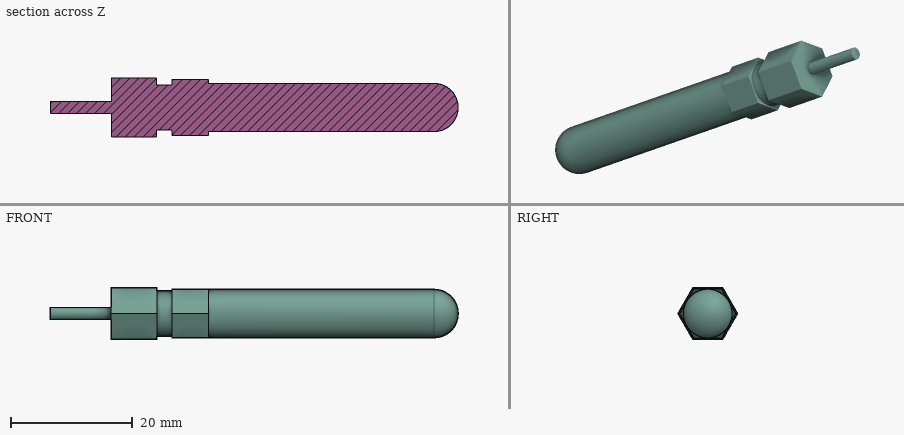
import cadquery as cq
import math

cable_length = 10.0
nut_length = 7.5
neck_length = 2.5
collar_length = 6.0
body_length = 37.0

cable_diameter = 2.0
nut_across_flats = 8.5
neck_diameter = 7.5
body_diameter = 8.0
collar_across_flats = body_diameter
body_radius = body_diameter / 2

nut_start = cable_length
neck_start = nut_start + nut_length
collar_start = neck_start + neck_length
body_start = collar_start + collar_length
dome_start = body_start + body_length


def cylinder(start, length, diameter):
    """Round section along X."""
    return cq.Workplane("YZ", origin=(start, 0, 0)).circle(diameter / 2).extrude(length)


def hexagon(start, length, across_flats):
    """Hexagonal section along X, with corners on the Y axis and flats facing +Z and -Z."""
    across_corners = across_flats / math.cos(math.pi / 6)
    return cq.Workplane("YZ", origin=(start, 0, 0)).polygon(6, across_corners).extrude(length)


def domed_body():
    """Cylindrical body closed by a hemisphere, revolved about X."""
    arc_offset = body_radius * math.sqrt(0.5)
    return (
        cq.Workplane("XY")
        .moveTo(body_start, 0)
        .lineTo(body_start, body_radius)
        .lineTo(dome_start, body_radius)
        .threePointArc((dome_start + arc_offset, arc_offset), (dome_start + body_radius, 0))
        .close()
        .revolve(360, (0, 0, 0), (1, 0, 0))
    )


cable = cylinder(0, cable_length, cable_diameter)
nut = hexagon(nut_start, nut_length, nut_across_flats)
neck = cylinder(neck_start, neck_length, neck_diameter)
collar = hexagon(collar_start, collar_length, collar_across_flats)

result = cable.union(nut).union(neck).union(collar).union(domed_body())